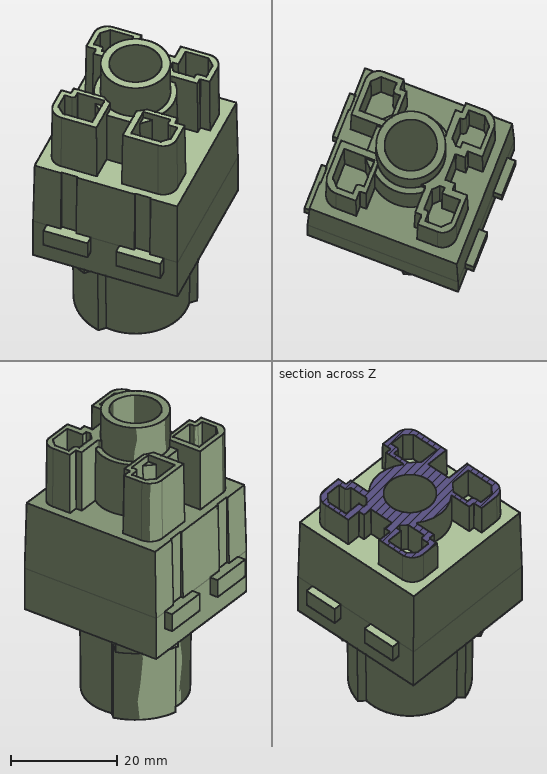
import cadquery as cq
import math

TOTAL_HEIGHT = 61.85
FLANGE_BOTTOM = 16.45
BODY_BOTTOM = 19.3
LUG_BOTTOM = 24.7
SHOULDER = 28.45
BODY_TOP = 43.0
COLLAR_TOP = 54.35
TOWER_TOP = 55.85
TOWER_HEIGHT = TOWER_TOP - BODY_TOP

BODY_X = 29.4
BODY_Y = 30.4
BODY_TOP_X = 29.0
BODY_TOP_Y = 29.75

OVERALL_Y = 33.8
LUG_SPACING = 14.8
FRONT_LUG_WIDTH = 8.95
BACK_LUG_WIDTH = 7.2
GROOVE_SPACING = 14.95
GROOVE_WIDTH = 3.15
GROOVE_FLOOR_Y = -14.65

PLUG_RADIUS = 10.6
LOBE_RADIUS = 11.95
FLANGE_RADIUS = 14.35
LOBE_WIDTH = 11.95
LOBE_ANGLE = 45.0
DRAFT = 0.6

BORE_RADIUS = 4.95
TUBE_RADIUS = 6.75
COLLAR_RADIUS = 7.9

TOWER_OUTER_X = 12.7
TOWER_FRONT_Y = -13.2
TOWER_BACK_Y = 13.05
TOWER_CORNER = 2.85
TOWER_INNER_X = 2.55
TOWER_INNER_Y = 4.8
NOTCH_X = 10.7
NOTCH_Y = 6.1
BACK_STEP_X = 3.85
BACK_STEP_Y = 10.1
BRIDGE_Y = 8.1
BRIDGE_HALF_WIDTH = 5.3
WEB_FRONT_Y = -8.3
WEB_DRAFT = 2.0

POCKET_OUTER_X = 11.45
POCKET_FRONT_Y = -11.95
POCKET_BACK_Y = 12.0
POCKET_CHAMFER = 1.5
POCKET_NOTCH_X = 9.4
POCKET_NOTCH_Y = 7.3
POCKET_NOTCH_ROUND = 0.6
FRONT_POCKET_INNER_X = 3.95
FRONT_POCKET_INNER_Y = 5.8
FRONT_CORNER_FILL = 1.85
BACK_POCKET_INNER_X = 5.3
BACK_POCKET_INNER_Y = 6.3
BACK_RECESS_X = 4.15
BACK_RECESS_Y = 8.4
BACK_RECESS_CHAMFER = 1.2


def box_between(x0, x1, y0, y1, z0, z1):
    return cq.Workplane("XY").box(x1 - x0, y1 - y0, z1 - z0, centered=False).translate((x0, y0, z0))


def drafted_cylinder(radius, bottom, top, draft=DRAFT):
    return cq.Workplane("XY").workplane(offset=bottom).circle(radius).extrude(top - bottom, taper=draft)


def with_mirror(shape):
    return shape.union(shape.mirror("YZ"))


def make_plug():
    band_length = 2 * FLANGE_RADIUS
    band = (
        cq.Workplane("XY")
        .rect(band_length, LOBE_WIDTH)
        .extrude(BODY_BOTTOM)
        .rotate((0, 0, 0), (0, 0, 1), LOBE_ANGLE)
    )
    bottom_inset = BODY_BOTTOM * math.tan(math.radians(DRAFT))
    core = drafted_cylinder(PLUG_RADIUS - bottom_inset, 0, BODY_BOTTOM, -DRAFT)
    lobes = drafted_cylinder(LOBE_RADIUS - bottom_inset, 0, BODY_BOTTOM, -DRAFT)
    flange = drafted_cylinder(FLANGE_RADIUS, FLANGE_BOTTOM, BODY_BOTTOM, 0)
    return core.union(lobes.union(flange).intersect(band))


def make_body():
    lower = box_between(-BODY_X / 2, BODY_X / 2, -BODY_Y / 2, BODY_Y / 2, BODY_BOTTOM, SHOULDER)
    upper = (
        cq.Workplane("XY")
        .workplane(offset=SHOULDER)
        .rect(BODY_X, BODY_Y)
        .workplane(offset=BODY_TOP - SHOULDER)
        .rect(BODY_TOP_X, BODY_TOP_Y)
        .loft(ruled=True)
    )
    body = lower.union(upper)
    for side in (-1, 1):
        groove_x = side * GROOVE_SPACING / 2
        body = body.cut(box_between(
            groove_x - GROOVE_WIDTH / 2, groove_x + GROOVE_WIDTH / 2,
            -BODY_Y / 2, GROOVE_FLOOR_Y, SHOULDER, BODY_TOP,
        ))
        lug_x = side * LUG_SPACING / 2
        body = body.union(box_between(
            lug_x - FRONT_LUG_WIDTH / 2, lug_x + FRONT_LUG_WIDTH / 2,
            -OVERALL_Y / 2, 0, LUG_BOTTOM, SHOULDER,
        ))
        body = body.union(box_between(
            lug_x - BACK_LUG_WIDTH / 2, lug_x + BACK_LUG_WIDTH / 2,
            0, OVERALL_Y / 2, LUG_BOTTOM, SHOULDER,
        ))
    return body


def make_front_towers():
    tower = (
        cq.Workplane("XY")
        .workplane(offset=BODY_TOP)
        .moveTo(TOWER_INNER_X, TOWER_FRONT_Y)
        .lineTo(TOWER_OUTER_X - TOWER_CORNER, TOWER_FRONT_Y)
        .radiusArc((TOWER_OUTER_X, TOWER_FRONT_Y + TOWER_CORNER), -TOWER_CORNER)
        .lineTo(TOWER_OUTER_X, -NOTCH_Y)
        .lineTo(NOTCH_X, -NOTCH_Y)
        .lineTo(NOTCH_X, -TOWER_INNER_Y)
        .lineTo(TOWER_INNER_X, -TOWER_INNER_Y)
        .close()
        .extrude(TOWER_HEIGHT, taper=DRAFT)
    )
    return with_mirror(tower)


def make_back_towers():
    half = (
        cq.Workplane("XY")
        .workplane(offset=BODY_TOP)
        .moveTo(-TOWER_INNER_X, 0)
        .lineTo(BRIDGE_HALF_WIDTH, 0)
        .lineTo(BRIDGE_HALF_WIDTH, TOWER_INNER_Y)
        .lineTo(NOTCH_X, TOWER_INNER_Y)
        .lineTo(NOTCH_X, NOTCH_Y)
        .lineTo(TOWER_OUTER_X, NOTCH_Y)
        .lineTo(TOWER_OUTER_X, TOWER_BACK_Y - TOWER_CORNER)
        .radiusArc((TOWER_OUTER_X - TOWER_CORNER, TOWER_BACK_Y), -TOWER_CORNER)
        .lineTo(BACK_STEP_X, TOWER_BACK_Y)
        .lineTo(BACK_STEP_X, BACK_STEP_Y)
        .lineTo(TOWER_INNER_X, BACK_STEP_Y)
        .lineTo(TOWER_INNER_X, BRIDGE_Y)
        .lineTo(-TOWER_INNER_X, BRIDGE_Y)
        .close()
        .extrude(TOWER_HEIGHT, taper=DRAFT)
    )
    return with_mirror(half)


def make_front_web():
    return (
        cq.Workplane("XY")
        .workplane(offset=BODY_TOP)
        .rect(2 * FRONT_POCKET_INNER_X, -2 * WEB_FRONT_Y)
        .extrude(COLLAR_TOP - BODY_TOP, taper=WEB_DRAFT)
        .intersect(box_between(
            -FRONT_POCKET_INNER_X, FRONT_POCKET_INNER_X, WEB_FRONT_Y, 0, BODY_TOP, COLLAR_TOP,
        ))
    )


def make_front_pockets():
    pocket = (
        cq.Workplane("XY")
        .workplane(offset=TOWER_TOP)
        .moveTo(FRONT_POCKET_INNER_X, POCKET_FRONT_Y)
        .lineTo(POCKET_OUTER_X - POCKET_CHAMFER, POCKET_FRONT_Y)
        .lineTo(POCKET_OUTER_X, POCKET_FRONT_Y + POCKET_CHAMFER)
        .lineTo(POCKET_OUTER_X, -POCKET_NOTCH_Y)
        .lineTo(POCKET_NOTCH_X + POCKET_NOTCH_ROUND, -POCKET_NOTCH_Y)
        .radiusArc((POCKET_NOTCH_X, POCKET_NOTCH_ROUND - POCKET_NOTCH_Y), POCKET_NOTCH_ROUND)
        .lineTo(POCKET_NOTCH_X, -FRONT_POCKET_INNER_Y)
        .lineTo(FRONT_POCKET_INNER_X, -FRONT_POCKET_INNER_Y)
        .close()
        .extrude(-TOWER_HEIGHT, taper=DRAFT)
    )
    corner_fill = (
        cq.Workplane("XY")
        .workplane(offset=BODY_TOP)
        .moveTo(FRONT_POCKET_INNER_X, -FRONT_POCKET_INNER_Y)
        .lineTo(FRONT_POCKET_INNER_X, -FRONT_POCKET_INNER_Y - FRONT_CORNER_FILL)
        .lineTo(FRONT_POCKET_INNER_X + FRONT_CORNER_FILL, -FRONT_POCKET_INNER_Y)
        .close()
        .extrude(COLLAR_TOP - BODY_TOP)
    )
    return with_mirror(pocket.cut(corner_fill))


def make_back_pockets():
    pocket = (
        cq.Workplane("XY")
        .workplane(offset=TOWER_TOP)
        .moveTo(BACK_POCKET_INNER_X, POCKET_BACK_Y)
        .lineTo(POCKET_OUTER_X - POCKET_CHAMFER, POCKET_BACK_Y)
        .lineTo(POCKET_OUTER_X, POCKET_BACK_Y - POCKET_CHAMFER)
        .lineTo(POCKET_OUTER_X, POCKET_NOTCH_Y)
        .lineTo(POCKET_NOTCH_X + POCKET_NOTCH_ROUND, POCKET_NOTCH_Y)
        .radiusArc((POCKET_NOTCH_X, POCKET_NOTCH_Y - POCKET_NOTCH_ROUND), -POCKET_NOTCH_ROUND)
        .lineTo(POCKET_NOTCH_X, BACK_POCKET_INNER_Y)
        .lineTo(BACK_RECESS_X + BACK_RECESS_CHAMFER, BACK_POCKET_INNER_Y)
        .lineTo(BACK_RECESS_X, BACK_POCKET_INNER_Y + BACK_RECESS_CHAMFER)
        .lineTo(BACK_RECESS_X, BACK_RECESS_Y)
        .lineTo(BACK_POCKET_INNER_X, BACK_RECESS_Y)
        .close()
        .extrude(-TOWER_HEIGHT, taper=DRAFT)
    )
    return with_mirror(pocket)


tube = drafted_cylinder(TUBE_RADIUS, BODY_TOP, TOTAL_HEIGHT)
collar = drafted_cylinder(COLLAR_RADIUS, BODY_TOP, COLLAR_TOP)
bore = cq.Workplane("XY").circle(BORE_RADIUS).extrude(TOTAL_HEIGHT)

result = (
    make_plug()
    .union(make_body())
    .union(collar)
    .union(make_front_web())
    .union(make_front_towers())
    .union(make_back_towers())
    .cut(make_front_pockets())
    .cut(make_back_pockets())
    .union(tube)
    .cut(bore)
)